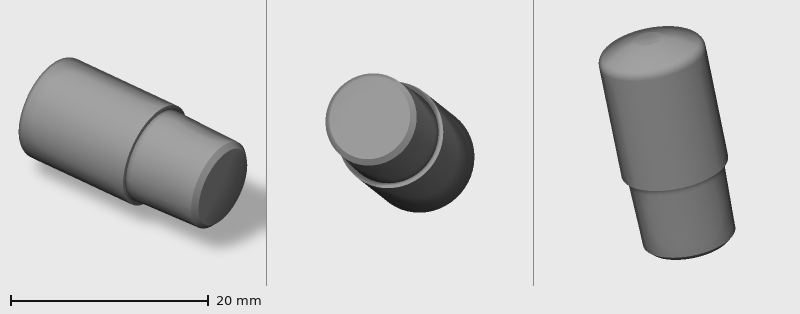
import cadquery as cq

length = 23
body_radius = 5.5
body_end = 14.51

tip_radius = 1.5
dome_mid = (0.44, 3.3)
dome_end = (1.1, 4.92)
shoulder_mid = (1.45, 5.34)
shoulder_end = 2.0

shank_root_radius = 5.0
shank_end_radius = 4.75
chamfer_length = 0.53
chamfer_end_radius = 4.2

profile = (
    cq.Workplane("XY")
    .moveTo(0, 0)
    .lineTo(0, tip_radius)
    .threePointArc(dome_mid, dome_end)
    .threePointArc(shoulder_mid, (shoulder_end, body_radius))
    .lineTo(body_end, body_radius)
    .lineTo(body_end, shank_root_radius)
    .lineTo(length - chamfer_length, shank_end_radius)
    .lineTo(length, chamfer_end_radius)
    .lineTo(length, 0)
    .close()
)

result = profile.revolve(360, (0, 0, 0), (1, 0, 0)).translate((-length / 2, 0, 0))